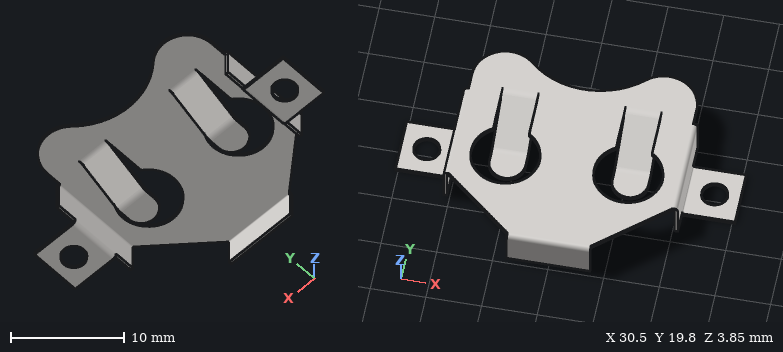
import cadquery as cq
import math

overall_length = 30.5
overall_height = 3.85
thickness = 0.3
bend_inner = 0.12
bend_outer = bend_inner + thickness

wall_outer_x = 10.52
plate_half_width = wall_outer_x - bend_outer
plate_rear_y = 9.3
lobe_radius = 3.0
notch_bottom_y = 6.5

wall_width = 9.35
lug_width = 5.2
lug_hole_diameter = 2.35
lug_hole_x = 12.93

lip_outer_y = -10.5
lip_half_width = 3.75
lip_depth = 3.25
lip_bend_y = lip_outer_y + bend_outer

tongue_x = 5.52
tongue_width = 3.23
tongue_root_y = 5.3
tongue_flat_y = 0.0
tongue_tip_y = -2.5
tongue_drop = 2.5
tongue_bend_inner = 1.0
tongue_bend_outer = tongue_bend_inner + thickness
window_diameter = 6.15
window_y = -1.8


def polar(center, radius, angle):
    """Point at the given radius and angle (radians) from a center."""
    return (center[0] + radius * math.cos(angle), center[1] + radius * math.sin(angle))


def make_plate():
    """Flat plate with two rear lobes, a tangent notch and a tapered front."""
    lobe_x = plate_half_width - lobe_radius
    lobe_y = plate_rear_y - lobe_radius
    rise = notch_bottom_y - lobe_y
    notch_radius = (lobe_x**2 + rise**2 - lobe_radius**2) / (2 * (lobe_radius - rise))
    notch_center_y = notch_bottom_y + notch_radius
    join_angle = math.atan2(notch_center_y - lobe_y, -lobe_x)
    join_x, join_y = polar((lobe_x, lobe_y), lobe_radius, join_angle)
    lobe_mid_x, lobe_mid_y = polar((lobe_x, lobe_y), lobe_radius, join_angle / 2)
    wall_front_y = -wall_width / 2
    return (
        cq.Workplane("XY")
        .moveTo(-lip_half_width, lip_bend_y)
        .lineTo(lip_half_width, lip_bend_y)
        .lineTo(plate_half_width, wall_front_y)
        .lineTo(plate_half_width, lobe_y)
        .threePointArc((lobe_mid_x, lobe_mid_y), (join_x, join_y))
        .threePointArc((0, notch_bottom_y), (-join_x, join_y))
        .threePointArc((-lobe_mid_x, lobe_mid_y), (-plate_half_width, lobe_y))
        .lineTo(-plate_half_width, wall_front_y)
        .close()
        .extrude(-thickness)
    )


def make_flange(plane, bend_start, bottom, width):
    """Downward bend and wall, starting at the plate edge; width is centered."""
    outer = bend_start + bend_outer
    center = (bend_start, -bend_outer)
    return (
        cq.Workplane(plane)
        .moveTo(bend_start, 0)
        .threePointArc(polar(center, bend_outer, math.pi / 4), (outer, -bend_outer))
        .lineTo(outer, bottom)
        .lineTo(outer - thickness, bottom)
        .lineTo(outer - thickness, -bend_outer)
        .threePointArc(polar(center, bend_inner, math.pi / 4), (bend_start, -thickness))
        .close()
        .extrude(width / 2, both=True)
    )


def make_lug():
    """Outward bend below the right side wall and its drilled lug."""
    bend_x = wall_outer_x + bend_inner
    bend_z = -overall_height + bend_outer
    center = (bend_x, bend_z)
    end_x = overall_length / 2
    lug = (
        cq.Workplane("XZ")
        .moveTo(wall_outer_x - thickness, bend_z)
        .threePointArc(polar(center, bend_outer, -0.75 * math.pi), (bend_x, -overall_height))
        .lineTo(end_x, -overall_height)
        .lineTo(end_x, -overall_height + thickness)
        .lineTo(bend_x, -overall_height + thickness)
        .threePointArc(polar(center, bend_inner, -0.75 * math.pi), (wall_outer_x, bend_z))
        .close()
        .extrude(lug_width / 2, both=True)
    )
    hole = (
        cq.Workplane("XY")
        .center(lug_hole_x, 0)
        .circle(lug_hole_diameter / 2)
        .extrude(-overall_height)
    )
    return lug.cut(hole)


def tongue_outline():
    """Plan shape of one tongue: straight sides and a round tip."""
    tip_radius = tongue_width / 2
    tip_center_y = tongue_tip_y + tip_radius
    return (
        cq.Workplane("XY")
        .moveTo(tongue_x - tip_radius, tongue_root_y)
        .lineTo(tongue_x - tip_radius, tip_center_y)
        .threePointArc((tongue_x, tongue_tip_y), (tongue_x + tip_radius, tip_center_y))
        .lineTo(tongue_x + tip_radius, tongue_root_y)
        .close()
        .extrude(-overall_height)
    )


def make_tongue():
    """Tongue bent down from the plate, then bent back to a level tip."""
    span = tongue_root_y - tongue_flat_y
    radius_sum = tongue_bend_outer + tongue_bend_inner
    center_rise = radius_sum - tongue_drop
    slope_length = math.sqrt(span**2 + center_rise**2 - radius_sum**2)
    slope = math.atan2(radius_sum, slope_length) - math.atan2(center_rise, span)
    root = (tongue_root_y, -tongue_bend_outer)
    tip = (tongue_flat_y, -tongue_drop + tongue_bend_inner)
    up = math.pi / 2
    profile = (
        cq.Workplane("YZ")
        .moveTo(tongue_root_y, 0)
        .threePointArc(
            polar(root, tongue_bend_outer, up + slope / 2),
            polar(root, tongue_bend_outer, up + slope),
        )
        .lineTo(*polar(tip, tongue_bend_inner, slope - up))
        .threePointArc(
            polar(tip, tongue_bend_inner, slope / 2 - up),
            (tongue_flat_y, -tongue_drop),
        )
        .lineTo(tongue_tip_y, -tongue_drop)
        .lineTo(tongue_tip_y, -tongue_drop - thickness)
        .lineTo(tongue_flat_y, -tongue_drop - thickness)
        .threePointArc(
            polar(tip, tongue_bend_outer, slope / 2 - up),
            polar(tip, tongue_bend_outer, slope - up),
        )
        .lineTo(*polar(root, tongue_bend_inner, up + slope))
        .threePointArc(
            polar(root, tongue_bend_inner, up + slope / 2),
            (tongue_root_y, -thickness),
        )
        .close()
        .extrude(plate_half_width)
    )
    return profile.intersect(tongue_outline())


def make_window():
    """Opening in the plate: tongue slot plus the round window at its tip."""
    circle = (
        cq.Workplane("XY")
        .center(tongue_x, window_y)
        .circle(window_diameter / 2)
        .extrude(-thickness)
    )
    return circle.union(tongue_outline())


def both_sides(body):
    """The body together with its mirror image across X = 0."""
    return body.union(body.mirror("YZ"))


wall_bottom = -overall_height + bend_outer
side_wall = make_flange("XZ", plate_half_width, wall_bottom, wall_width)
front_lip = make_flange("YZ", -lip_bend_y, -lip_depth, 2 * lip_half_width)
front_lip = front_lip.mirror("XZ")

result = (
    make_plate()
    .cut(both_sides(make_window()))
    .union(both_sides(make_tongue()))
    .union(both_sides(side_wall.union(make_lug())))
    .union(front_lip)
)